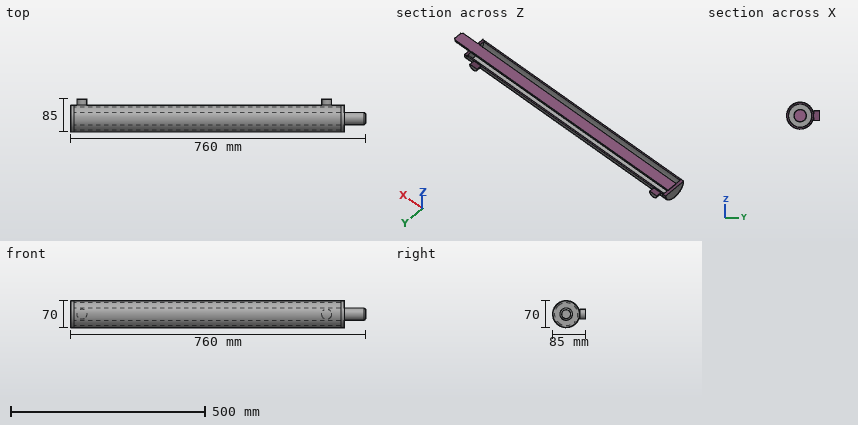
import cadquery as cq

total_length = 760.0
barrel_diameter = 70.0
wall_thickness = 5.0
base_cap_thickness = 10.0
gland_thickness = 8.0
cap_chamfer = 1.5
rod_diameter = 32.0
rod_protrusion = 55.5
rod_chamfer = 4.5
port_diameter = 26.0
port_height = 15.0
base_port_x = 30.0
gland_port_x = 659.0

barrel_radius = barrel_diameter / 2
bore_diameter = barrel_diameter - 2 * wall_thickness
gland_face_x = total_length - rod_protrusion
gland_start_x = gland_face_x - gland_thickness
tube_length = gland_start_x - base_cap_thickness


def round_bar(start_x, length, diameter):
    """Solid bar along X, centred on the cylinder axis."""
    return cq.Workplane("YZ", origin=(start_x, 0, 0)).circle(diameter / 2).extrude(length)


def make_tube():
    """Hollow tube between the base cap and the gland."""
    outside = round_bar(base_cap_thickness, tube_length, barrel_diameter)
    bore = round_bar(base_cap_thickness, tube_length, bore_diameter)
    return outside.cut(bore)


def make_base_cap():
    """Disc that closes the tube, flush with its outside and chamfered on its outer rim."""
    disc = round_bar(0, base_cap_thickness, barrel_diameter)
    return disc.faces("<X").chamfer(cap_chamfer)


def make_gland():
    """Disc at the rod end, with a hole that fits the rod."""
    disc = round_bar(gland_start_x, gland_thickness, barrel_diameter)
    rod_hole = round_bar(gland_start_x, gland_thickness, rod_diameter)
    return disc.cut(rod_hole)


def make_rod():
    """Retracted rod, from the base cap through the gland to its chamfered tip."""
    rod = round_bar(base_cap_thickness, total_length - base_cap_thickness, rod_diameter)
    return rod.faces(">X").chamfer(rod_chamfer)


def make_port(port_x):
    """Round boss on the +Y side, standing on the crest of the tube."""
    return (
        cq.Workplane("XZ", origin=(port_x, barrel_radius, 0))
        .circle(port_diameter / 2)
        .extrude(-port_height)
    )


tube = make_tube()
base_cap = make_base_cap()
gland = make_gland()
rod = make_rod()
ports = [make_port(port_x) for port_x in (base_port_x, gland_port_x)]

result = cq.Compound.makeCompound(
    [tube.val(), base_cap.val(), gland.val(), rod.val(), *[port.val() for port in ports]]
)